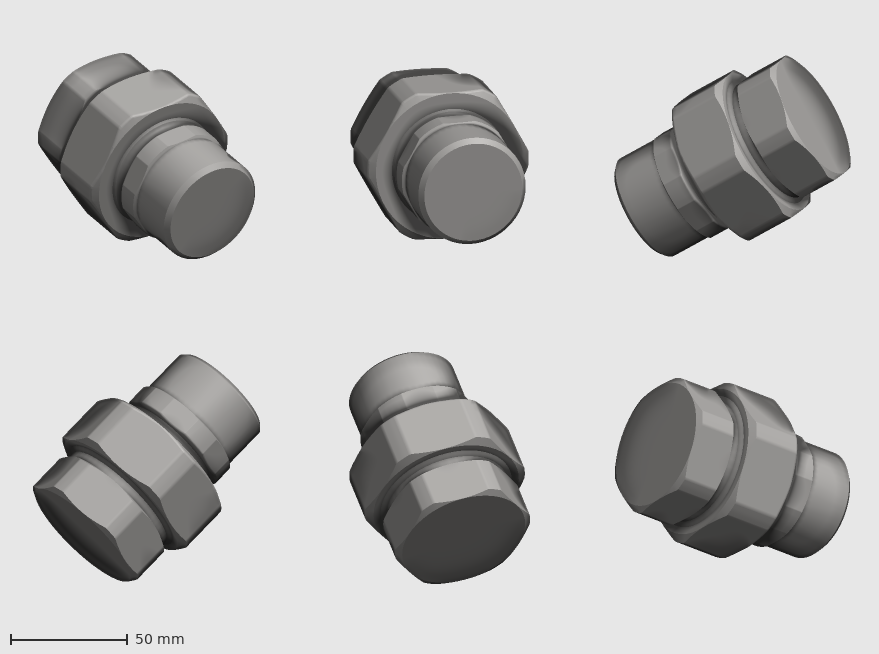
import cadquery as cq
import math

TOTAL_LENGTH = 88.73
HEX_TILT = -1.1
CHAMFER_SLOPE = math.tan(math.radians(30))

END_FLATS = 55.5
END_CORNER_RADIUS = 30.35
END_FACE_RADIUS = 27.7
END_HEX_LENGTH = 19.9
END_CORNER_FILLET = 3.0

NECK_RADIUS = 27.45
NECK_END = 23.2
NECK_CONE_RADIUS = 29.55

NUT_START = 24.6
NUT_END = 50.75
NUT_FLATS = 65.7
NUT_CORNER_RADIUS = 35.99
NUT_FACE_RADIUS = 32.7
NUT_CORNER_FILLET = 3.5
NUT_RIM_FILLET = 1.4

COLLAR_RADIUS = 25.6
COLLAR_CONE_LENGTH = 0.85
WAIST_RADIUS = 23.0
WAIST_X = 53.9
WAIST_END_RADIUS = 23.3

TAIL_HEX_START = 55.6
TAIL_HEX_END = 66.7
TAIL_FLATS = 48.8
TAIL_CORNER_RADIUS = 25.4
TAIL_CORNER_FILLET = 1.5
TAIL_RIM_FILLET = 1.0

SPIGOT_RADIUS = 23.9
SPIGOT_CHAMFER = 2.1


def revolve_profile(profile):
    """Revolve a closed profile, drawn as X against radius, about the X axis."""
    return profile.close().revolve(360, (0, 0, 0), (1, 0, 0))


def hexagon(
    start, end, flats, corner_radius, corner_fillet, start_radius, end_radius,
    start_rim_fillet=0, end_rim_fillet=0,
):
    """Hexagonal prism with turned corners and a cone at each end.

    The cones meet the end faces at start_radius and end_radius. A rim fillet
    blends the edge where the cone at that end meets the sides.
    """
    length = end - start
    prism = (
        cq.Workplane("YZ", origin=(start, 0, 0))
        .polygon(6, flats / math.cos(math.pi / 6))
        .extrude(length)
    )
    barrel = cq.Workplane("YZ", origin=(start, 0, 0)).circle(corner_radius).extrude(length)
    body = prism.intersect(barrel).edges("|X").fillet(corner_fillet)

    start_depth = (corner_radius - start_radius) * CHAMFER_SLOPE
    end_depth = (corner_radius - end_radius) * CHAMFER_SLOPE
    envelope = revolve_profile(
        cq.Workplane("XY")
        .moveTo(start, 0)
        .lineTo(start, start_radius)
        .lineTo(start + start_depth, corner_radius)
        .lineTo(end - end_depth, corner_radius)
        .lineTo(end, end_radius)
        .lineTo(end, 0)
    )
    body = body.intersect(envelope)

    for end_face, fillet in (("<X", start_rim_fillet), (">X", end_rim_fillet)):
        if fillet:
            cone = body.faces("%CONE").faces(end_face)
            body = cone.edges("not %CIRCLE").fillet(fillet)
    return body


def end_piece():
    """Hexagonal end piece with its neck and the cone that enters the nut."""
    end_hex = hexagon(
        0, END_HEX_LENGTH, END_FLATS, END_CORNER_RADIUS, END_CORNER_FILLET, END_FACE_RADIUS, END_FACE_RADIUS
    )
    neck = revolve_profile(
        cq.Workplane("XY")
        .moveTo(END_HEX_LENGTH, 0)
        .lineTo(END_HEX_LENGTH, NECK_RADIUS)
        .lineTo(NECK_END, NECK_RADIUS)
        .lineTo(NUT_START, NECK_CONE_RADIUS)
        .lineTo(NUT_START, 0)
    )
    return end_hex.union(neck)


def union_nut():
    """Large hexagon nut with its tail-side rim rounded."""
    return hexagon(
        NUT_START, NUT_END, NUT_FLATS, NUT_CORNER_RADIUS, NUT_CORNER_FILLET,
        NUT_FACE_RADIUS, NUT_FACE_RADIUS, end_rim_fillet=NUT_RIM_FILLET,
    )


def tail():
    """Waisted collar, truncated hexagon and chamfered spigot."""
    collar = revolve_profile(
        cq.Workplane("XY")
        .moveTo(NUT_END, 0)
        .lineTo(NUT_END, COLLAR_RADIUS)
        .lineTo(NUT_END + COLLAR_CONE_LENGTH, COLLAR_RADIUS - COLLAR_CONE_LENGTH)
        .threePointArc((WAIST_X, WAIST_RADIUS), (TAIL_HEX_START, WAIST_END_RADIUS))
        .lineTo(TAIL_HEX_START, 0)
    )
    tail_hex = hexagon(
        TAIL_HEX_START, TAIL_HEX_END, TAIL_FLATS, TAIL_CORNER_RADIUS, TAIL_CORNER_FILLET,
        WAIST_END_RADIUS, SPIGOT_RADIUS, start_rim_fillet=TAIL_RIM_FILLET,
    )
    spigot = (
        cq.Workplane("YZ", origin=(TAIL_HEX_END, 0, 0))
        .circle(SPIGOT_RADIUS)
        .extrude(TOTAL_LENGTH - TAIL_HEX_END)
        .faces(">X")
        .chamfer(SPIGOT_CHAMFER)
    )
    return collar.union(tail_hex).union(spigot)


tilted = end_piece().union(union_nut()).rotate((0, 0, 0), (1, 0, 0), HEX_TILT)
result = tilted.union(tail())